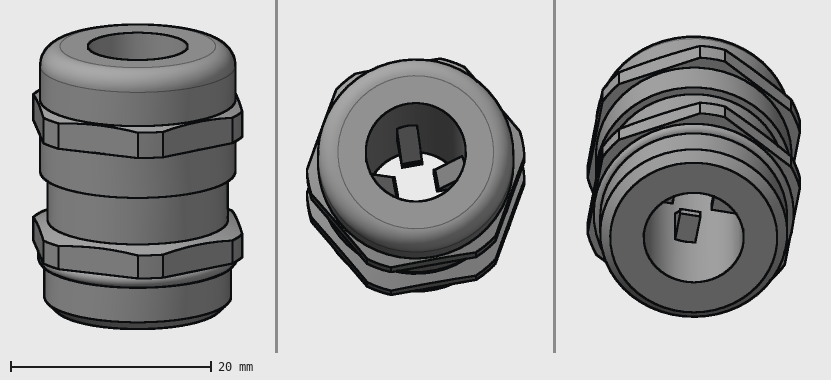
import cadquery as cq
import math

total_height = 27.0
thread_top = 4.6
lower_hex_bottom = 6.0
neck_bottom = 9.0
cap_bottom = 14.05
upper_hex_bottom = 18.5
upper_hex_top = 21.5

thread_radius = 9.35
neck_radius = 9.02
cap_radius = 9.77
bore_radius = 5.0
thread_chamfer = 1.0
cap_rounding = 2.0

ring_radius = 10.0
ring_height = lower_hex_bottom - thread_top
ring_rounding = ring_height / 2

hex_across_flats = 20.0
hex_corner_radius = 21.8 / 2
hex_cone_angle = 18.0

finger_count = 4
finger_width = 2.05
finger_tip_radius = 1.97
finger_tip_land = 0.2
finger_bottom = 9.0
finger_tip_height = 1.0
finger_slope_angle = 60.0
finger_wall_overlap = 0.27


def cylinder(radius, bottom, top):
    return cq.Workplane("XY").workplane(offset=bottom).circle(radius).extrude(top - bottom)


def coned_hexagon(bottom, top, cone_top_radius):
    """Hexagon with two corners on the X axis, coned down from cone_top_radius outwards."""
    across_corners = hex_across_flats / math.cos(math.radians(30))
    prism = (
        cq.Workplane("XY")
        .workplane(offset=bottom)
        .polygon(6, across_corners)
        .extrude(top - bottom)
    )
    cone_drop = (hex_corner_radius - cone_top_radius) * math.tan(math.radians(hex_cone_angle))
    envelope = (
        cq.Workplane("XZ")
        .moveTo(0, bottom)
        .lineTo(hex_corner_radius, bottom)
        .lineTo(hex_corner_radius, top - cone_drop)
        .lineTo(cone_top_radius, top)
        .lineTo(0, top)
        .close()
        .revolve(360, (0, 0, 0), (0, 1, 0))
    )
    return prism.intersect(envelope)


def sealing_ring():
    """Disc with a half-round rim."""
    rim_start = ring_radius - ring_rounding
    return (
        cq.Workplane("XZ")
        .moveTo(0, thread_top)
        .lineTo(rim_start, thread_top)
        .threePointArc((ring_radius, thread_top + ring_height / 2), (rim_start, lower_hex_bottom))
        .lineTo(0, lower_hex_bottom)
        .close()
        .revolve(360, (0, 0, 0), (0, 1, 0))
    )


def clamping_finger(angle):
    """Wedge that rises from a narrow tip land towards the bore wall."""
    wall_radius = bore_radius + finger_wall_overlap
    slope_start = finger_tip_radius + finger_tip_land
    tip_top = finger_bottom + finger_tip_height
    slope_rise = (wall_radius - slope_start) * math.tan(math.radians(finger_slope_angle))
    finger = (
        cq.Workplane("XZ")
        .moveTo(finger_tip_radius, finger_bottom)
        .lineTo(wall_radius, finger_bottom)
        .lineTo(wall_radius, tip_top + slope_rise)
        .lineTo(slope_start, tip_top)
        .lineTo(finger_tip_radius, tip_top)
        .close()
        .extrude(finger_width / 2, both=True)
    )
    return finger.rotate((0, 0, 0), (0, 0, 1), angle)


thread = cylinder(thread_radius, 0, lower_hex_bottom).faces("<Z").chamfer(thread_chamfer)
neck = cylinder(neck_radius, lower_hex_bottom, cap_bottom)
cap = cylinder(cap_radius, cap_bottom, total_height).faces(">Z").edges().fillet(cap_rounding)
body = (
    thread.union(sealing_ring())
    .union(neck)
    .union(cap)
    .union(coned_hexagon(lower_hex_bottom, neck_bottom, neck_radius))
    .union(coned_hexagon(upper_hex_bottom, upper_hex_top, cap_radius))
)

body = body.cut(cylinder(bore_radius, 0, total_height))

for index in range(finger_count):
    body = body.union(clamping_finger(index * 360 / finger_count))

result = body